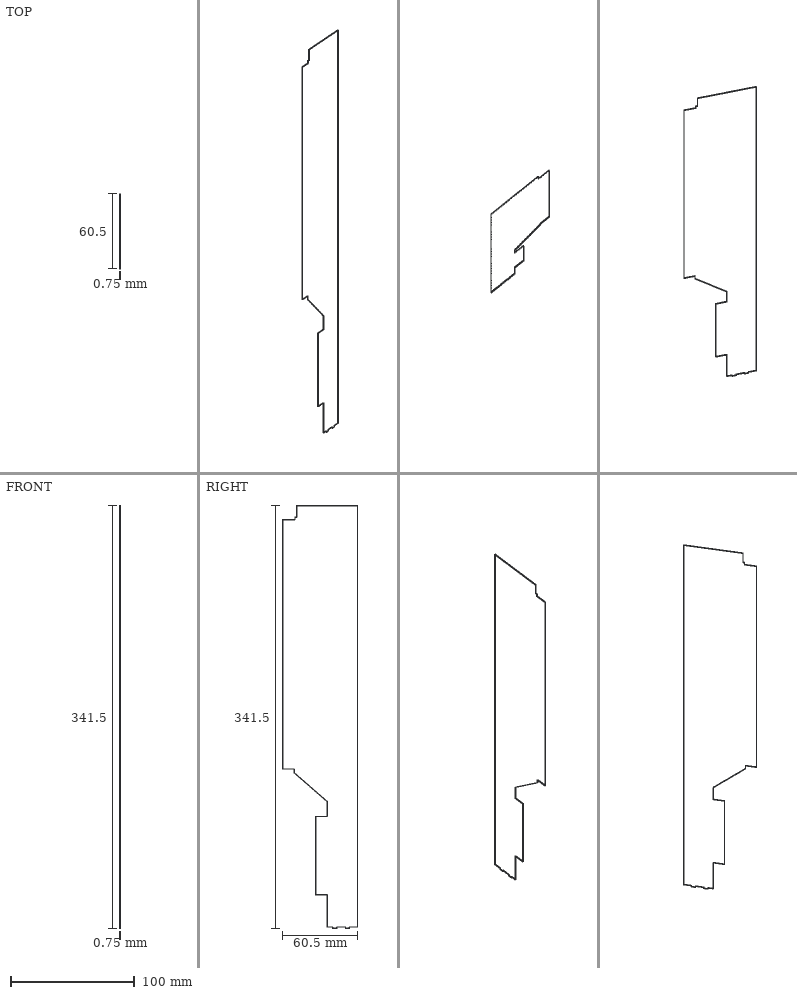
import cadquery as cq

thickness = 0.75
height = 341.5
overall_width = 60.5

foot_height = 1.0
upper_width = 51.2
shoulder_width = 50.5
lower_width = 24.5
slope_top = 125.5
slope_bottom = 102.5

flange_depth = 9.2
top_flange_width = 49.0
upper_flange_bottom = 128.7
upper_flange_top = 330.2
lower_flange_bottom = 27.0
lower_flange_top = 90.5

foot_width = 3.5
foot_offsets = (6.5, 16.7)

back_y = overall_width / 2
base_z = -height / 2


def panel(near, far, bottom, top):
    """Rectangle of sheet; near and far are distances from the back edge."""
    return cq.Workplane("XY").box(thickness, far - near, top - bottom).translate(
        (0, back_y - (near + far) / 2, base_z + (bottom + top) / 2)
    )


shoulder_z = height - flange_depth
plate_outline = [
    (0, foot_height),
    (lower_width, foot_height),
    (lower_width, slope_bottom),
    (upper_width, slope_top),
    (upper_width, upper_flange_top),
    (shoulder_width, upper_flange_top),
    (shoulder_width, shoulder_z),
    (top_flange_width, shoulder_z),
    (top_flange_width, height),
    (0, height),
]
result = (
    cq.Workplane("YZ")
    .polyline([(back_y - distance, base_z + z) for distance, z in plate_outline])
    .close()
    .extrude(thickness / 2, both=True)
)

result = result.union(panel(shoulder_width, overall_width, upper_flange_bottom, upper_flange_top))
result = result.union(panel(0, lower_width + flange_depth, lower_flange_bottom, lower_flange_top))

for offset in foot_offsets:
    result = result.union(panel(offset, offset + foot_width, 0, 2 * foot_height))